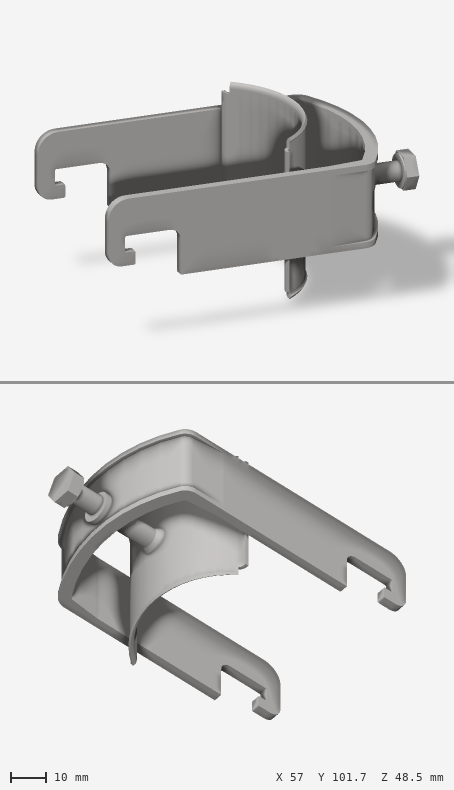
import cadquery as cq
import math


bracket_width = 57.0
bracket_height = 25.0
bracket_mid_z = 2.75
bracket_top_z = bracket_mid_z + bracket_height / 2
bracket_bottom_z = bracket_mid_z - bracket_height / 2
half_width = bracket_width / 2
leg_thickness = 2.75
arch_apex_y = 88.1
arch_radius = 50.0
corner_radius = 4.75
taper_end_y = 66.6

panel_depth = 1.0
panel_rim = 1.85
bridge_thickness = leg_thickness + panel_depth

throat_y = 21.6
throat_top_z = 4.15
throat_radius = 3.4
hook_inner_y = 5.0
hook_bottom_z = -4.75
barb_top_z = -0.75
barb_y = 8.1
leg_end_radius = 6.0
hook_radius = 4.0
barb_radius = 0.4

collar_diameter = 9.5
collar_top_y = 89.0
collar_mid_z = -0.5

screw_diameter = 6.0
screw_top_y = 101.69
head_across_flats = 10.0
head_height = 3.6
head_washer_height = 0.5
tip_diameter = 4.6
tip_y = 67.4

saddle_thickness = 1.0
saddle_inner_radius = 27.0
saddle_outer_radius = saddle_inner_radius + saddle_thickness
saddle_apex_y = 67.9
saddle_centre_y = saddle_apex_y - saddle_outer_radius
saddle_half_angle = math.radians(54.2)
saddle_height = 48.46

flare_angle = math.radians(60)
flare_inner_bend = 1.0
flare_outer_bend = flare_inner_bend + saddle_thickness
flare_start_z = saddle_height / 2 - flare_outer_bend * math.sin(flare_angle)

tab_height = 42.0
tab_tip_x = 24.9
tab_inner_bend = 2.0
tab_outer_bend = tab_inner_bend + saddle_thickness

funnel_slope = 1.25
funnel_depth = 1.25
funnel_top_y = 69.7
funnel_throat_y = saddle_apex_y - saddle_thickness + funnel_depth
funnel_mouth_y = funnel_throat_y - 2 * funnel_depth
funnel_mouth_diameter = screw_diameter + funnel_slope * (funnel_throat_y - funnel_mouth_y)
funnel_base_y = saddle_apex_y - saddle_thickness / 2
funnel_base_diameter = screw_diameter + funnel_slope * (funnel_top_y - funnel_base_y)


def extrude_z(outline, bottom_z, top_z):
    """Extrude a closed XY outline between two heights."""
    return outline.extrude(top_z - bottom_z).translate((0, 0, bottom_z))


def rod(diameter, start_y, end_y, mid_z=0.0):
    """Cylinder along Y between two positions."""
    start = cq.Vector(0, start_y, mid_z)
    return cq.Workplane(cq.Solid.makeCylinder(diameter / 2, end_y - start_y, start, cq.Vector(0, 1, 0)))


def cone(start_diameter, end_diameter, start_y, end_y):
    """Truncated cone on the screw axis between two positions."""
    start = cq.Vector(0, start_y, 0)
    height = end_y - start_y
    return cq.Workplane(
        cq.Solid.makeCone(start_diameter / 2, end_diameter / 2, height, start, cq.Vector(0, 1, 0))
    )



def arch_outline(arch_inset, leg_inset):
    """Closed XY outline of the strap, set in by one amount at the bridge and another at the legs."""
    arch_centre_y = arch_apex_y - arch_radius
    corner_x = half_width - corner_radius
    centre_distance = arch_radius - corner_radius
    corner_y = arch_centre_y + math.sqrt(centre_distance**2 - corner_x**2)

    radius = corner_radius - arch_inset
    joint_angle = math.atan2(corner_y - arch_centre_y, corner_x)
    joint_x = corner_x + radius * math.cos(joint_angle)
    joint_y = corner_y + radius * math.sin(joint_angle)
    middle_x = corner_x + radius * math.cos(joint_angle / 2)
    middle_y = corner_y + radius * math.sin(joint_angle / 2)
    side_x = half_width - arch_inset
    leg_x = half_width - leg_inset

    return (
        cq.Workplane("XY")
        .moveTo(leg_x, 0)
        .lineTo(leg_x, taper_end_y)
        .lineTo(side_x, corner_y)
        .threePointArc((middle_x, middle_y), (joint_x, joint_y))
        .threePointArc((0, arch_apex_y - arch_inset), (-joint_x, joint_y))
        .threePointArc((-middle_x, middle_y), (-side_x, corner_y))
        .lineTo(-leg_x, taper_end_y)
        .lineTo(-leg_x, 0)
        .close()
    )


def hook_cutout():
    """Material removed below and inside the hook, through both legs."""
    throat = (
        cq.Workplane("YZ")
        .moveTo(throat_y, bracket_bottom_z)
        .lineTo(throat_y, throat_top_z - throat_radius)
        .radiusArc((throat_y - throat_radius, throat_top_z), -throat_radius)
        .lineTo(hook_inner_y + barb_radius, throat_top_z)
        .radiusArc((hook_inner_y, throat_top_z - barb_radius), -barb_radius)
        .lineTo(hook_inner_y, barb_top_z)
        .lineTo(barb_y - barb_radius, barb_top_z)
        .radiusArc((barb_y, barb_top_z - barb_radius), barb_radius)
        .lineTo(barb_y, hook_bottom_z + barb_radius)
        .radiusArc((barb_y - barb_radius, hook_bottom_z), barb_radius)
        .lineTo(hook_radius, hook_bottom_z)
        .radiusArc((0, hook_bottom_z + hook_radius), hook_radius)
        .lineTo(0, bracket_bottom_z)
        .close()
    )
    return throat.extrude(half_width, both=True)


def leg_end_cutout():
    """Corner removed to round the upper end of both legs."""
    corner = (
        cq.Workplane("YZ")
        .moveTo(0, bracket_top_z)
        .lineTo(0, bracket_top_z - leg_end_radius)
        .radiusArc((leg_end_radius, bracket_top_z), leg_end_radius)
        .close()
    )
    return corner.extrude(half_width, both=True)


def build_bracket():
    strap = extrude_z(arch_outline(0, 0), bracket_bottom_z, bracket_top_z)
    inside = extrude_z(arch_outline(bridge_thickness, leg_thickness), bracket_bottom_z, bracket_top_z)

    panel_bottom_z = bracket_bottom_z + panel_rim
    panel_top_z = bracket_top_z - panel_rim
    panel_skin = extrude_z(arch_outline(0, 0), panel_bottom_z, panel_top_z).cut(
        extrude_z(arch_outline(panel_depth, 0), panel_bottom_z, panel_top_z)
    )

    collar_base_y = arch_apex_y - bridge_thickness / 2
    collar = rod(collar_diameter, collar_base_y, collar_top_y, collar_mid_z)
    screw_hole = rod(screw_diameter, taper_end_y, screw_top_y)

    return (
        strap.cut(inside)
        .cut(panel_skin)
        .cut(hook_cutout())
        .cut(leg_end_cutout())
        .union(collar)
        .cut(screw_hole)
    )



def build_screw():
    head_underside_y = screw_top_y - head_height
    corner_diameter = head_across_flats / math.cos(math.pi / 6)
    head = (
        cq.Workplane("XZ", origin=(0, screw_top_y, 0))
        .polygon(6, corner_diameter)
        .extrude(head_height)
    )
    washer_face = rod(head_across_flats, head_underside_y - head_washer_height, head_underside_y)
    shank = rod(screw_diameter, funnel_throat_y, head_underside_y)
    tip = cone(tip_diameter, screw_diameter, tip_y, funnel_throat_y)
    return head.union(washer_face).union(shank).union(tip)


def saddle_shell():
    """Curved plate with flared rims: its cross-section swept about the saddle axis."""
    inner = saddle_inner_radius
    outer = saddle_outer_radius

    def flare_point(bend, angle):
        """Radius and height of a point on the flare, at a turn angle along one of its faces."""
        return (
            outer + flare_inner_bend - bend * math.cos(angle),
            flare_start_z + bend * math.sin(angle),
        )

    inner_middle = flare_point(flare_outer_bend, flare_angle / 2)
    inner_end = flare_point(flare_outer_bend, flare_angle)
    outer_middle = flare_point(flare_inner_bend, flare_angle / 2)
    outer_end = flare_point(flare_inner_bend, flare_angle)

    upper_half = (
        cq.Workplane("XZ")
        .moveTo(inner, 0)
        .lineTo(inner, flare_start_z)
        .threePointArc(inner_middle, inner_end)
        .lineTo(*outer_end)
        .threePointArc(outer_middle, (outer, flare_start_z))
        .lineTo(outer, 0)
        .close()
        .revolve(2 * math.degrees(saddle_half_angle), (0, 0, 0), (0, -1, 0))
    )
    shell = upper_half.union(upper_half.mirror("XY"))
    start_angle = 90 + math.degrees(saddle_half_angle)
    return shell.rotate((0, 0, 0), (0, 0, 1), start_angle).translate((0, saddle_centre_y, 0))


def saddle_tab():
    """Tab at the +X end, bent outwards until it lies along X."""
    sin_end = math.sin(saddle_half_angle)
    cos_end = math.cos(saddle_half_angle)
    bend_centre_radius = saddle_outer_radius + tab_inner_bend
    bend_x = bend_centre_radius * sin_end
    bend_y = saddle_centre_y + bend_centre_radius * cos_end

    def bend_point(radius, angle):
        """Point on the bend, at an angle from the finished tab direction."""
        return (bend_x - radius * math.sin(angle), bend_y - radius * math.cos(angle))

    full = saddle_half_angle
    outline = (
        cq.Workplane("XY")
        .moveTo(*bend_point(tab_outer_bend, full))
        .threePointArc(bend_point(tab_outer_bend, full / 2), bend_point(tab_outer_bend, 0))
        .lineTo(tab_tip_x, bend_y - tab_outer_bend)
        .lineTo(tab_tip_x, bend_y - tab_inner_bend)
        .lineTo(*bend_point(tab_inner_bend, 0))
        .threePointArc(bend_point(tab_inner_bend, full / 2), bend_point(tab_inner_bend, full))
        .close()
    )
    return extrude_z(outline, -tab_height / 2, tab_height / 2)


def build_screw_with_saddle():
    tab = saddle_tab()
    saddle = saddle_shell().union(tab).union(tab.mirror("YZ"))

    funnel_outside = cone(funnel_base_diameter, screw_diameter, funnel_base_y, funnel_top_y)
    funnel_inside = cone(funnel_mouth_diameter, screw_diameter, funnel_mouth_y, funnel_throat_y)
    return saddle.union(funnel_outside).cut(funnel_inside).union(build_screw())


bracket = build_bracket()
screw_with_saddle = build_screw_with_saddle()

result = cq.Compound.makeCompound([bracket.solids().val(), screw_with_saddle.solids().val()])